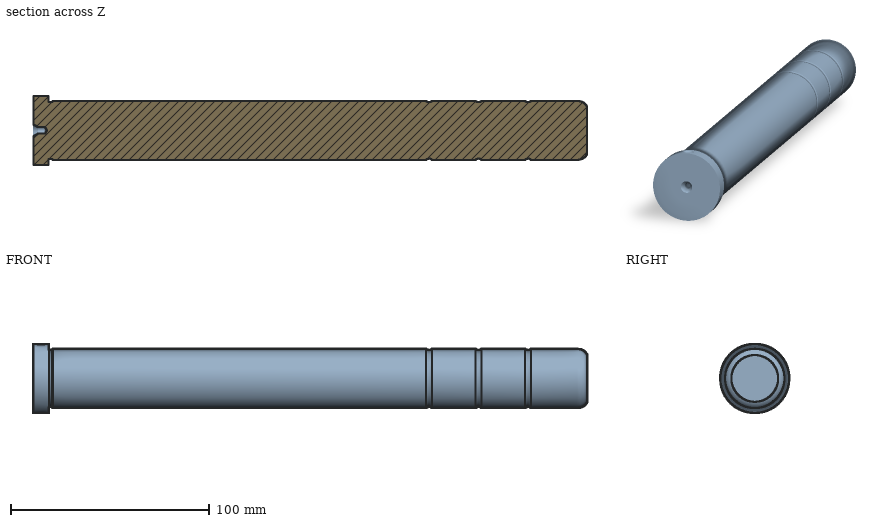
import cadquery as cq
import math

total_length = 280.0
head_diameter = 35.0
head_length = 8.0
shank_diameter = 30.0

undercut_depth = 0.5
undercut_length = 1.5

groove_count = 3
groove_pitch = 25.0
last_groove_center = 250.0
groove_width = 3.0
groove_depth = 0.6

tip_length = 5.0
tip_drop = 3.2

hole_diameter = 3.0
hole_depth = 6.0
center_sink_diameter = 6.0
rim_sink_diameter = 5.3
sink_angle = 60.0
drill_tip_angle = 120.0

head_radius = head_diameter / 2
shank_radius = shank_diameter / 2


def make_body():
    """Revolve the stepped half profile, tip included, about the X axis."""
    undercut_radius = shank_radius - undercut_depth
    undercut_end = head_length + undercut_length
    return (
        cq.Workplane("XZ")
        .moveTo(0, 0)
        .lineTo(0, head_radius)
        .lineTo(head_length, head_radius)
        .lineTo(head_length, undercut_radius)
        .lineTo(undercut_end, undercut_radius)
        .lineTo(undercut_end + undercut_depth, shank_radius)
        .lineTo(total_length - tip_length, shank_radius)
        .tangentArcPoint((total_length, shank_radius - tip_drop), relative=False)
        .lineTo(total_length, 0)
        .close()
        .revolve(360, (0, 0, 0), (1, 0, 0))
    )


def groove_cutter(center):
    """Ring of circular section that cuts one oil groove."""
    section_radius = (groove_width**2 / 4 + groove_depth**2) / (2 * groove_depth)
    section_offset = shank_radius - groove_depth + section_radius
    return (
        cq.Workplane("XZ", origin=(center, 0, 0))
        .moveTo(0, section_offset)
        .circle(section_radius)
        .revolve(360, (0, 0, 0), (1, 0, 0))
    )


def cone_height(diameter, included_angle):
    """Height of a cone with the given base diameter and included angle."""
    return diameter / 2 / math.tan(math.radians(included_angle / 2))


def countersunk_hole(sink_diameter):
    """Blind countersunk hole with a drill tip, along -Z, its mouth at the origin."""
    sink_depth = cone_height(sink_diameter - hole_diameter, sink_angle)
    tip_depth = cone_height(hole_diameter, drill_tip_angle)
    return (
        cq.Workplane("XZ")
        .moveTo(0, 0)
        .lineTo(sink_diameter / 2, 0)
        .lineTo(hole_diameter / 2, -sink_depth)
        .lineTo(hole_diameter / 2, -hole_depth)
        .lineTo(0, -hole_depth - tip_depth)
        .close()
        .revolve(360, (0, 0, 0), (0, 1, 0))
    )


def center_hole():
    """Center hole on the axis, opening at the outer head face."""
    hole = countersunk_hole(center_sink_diameter)
    return hole.rotate((0, 0, 0), (0, 1, 0), -90)


def rim_hole():
    """Radial hole on the top of the head, midway along its rim."""
    hole = countersunk_hole(rim_sink_diameter)
    return hole.translate((head_length / 2, 0, head_radius))


result = make_body()
for index in range(groove_count):
    result = result.cut(groove_cutter(last_groove_center - index * groove_pitch))
result = result.cut(center_hole()).cut(rim_hole())